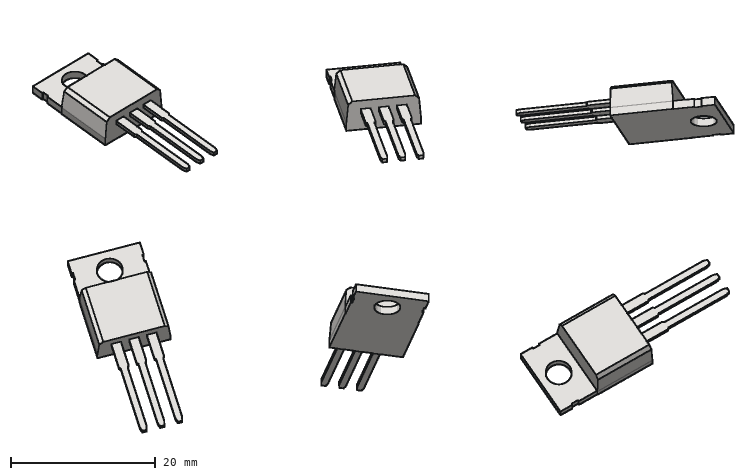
import cadquery as cq
import math

tab_width = 10.38
tab_thickness = 1.22
hole_diameter = 3.6
hole_x = 2.95
notch_start = 1.95
notch_length = 1.05
notch_depth = 0.2

body_start = 5.97
body_end = 14.95
body_width = 10.5
body_height = 4.65
draft_angle = 5.0
bevel_height = 0.52
bevel_width = 0.58

overall_length = 29.0
lead_count = 3
lead_pitch = 2.55
lead_bottom = 2.75
lead_thickness = 0.55
lead_root_width = 1.4
lead_width = 1.0
lead_tip_width = 0.65
shoulder_start = 18.7
shoulder_length = 0.23
tip_length = 0.65


def make_tab():
    """Flat mounting tab with a screw hole and a notch in each long edge."""
    tab = cq.Workplane("XY").box(body_end, tab_width, tab_thickness, centered=(False, True, False))
    hole = cq.Workplane("XY").center(hole_x, 0).circle(hole_diameter / 2).extrude(tab_thickness)
    notches = (
        cq.Workplane("XY")
        .pushPoints([(notch_start + notch_length / 2, side * tab_width / 2) for side in (-1, 1)])
        .rect(notch_length, 2 * notch_depth)
        .extrude(tab_thickness)
    )
    return tab.cut(hole).cut(notches)


def make_body():
    """Body with drafted sides, bevelled upper long edges and a sloping front face."""
    draft_slope = math.tan(math.radians(draft_angle))
    half_width = body_width / 2
    bevel_bottom = body_height - bevel_height
    half_width_at_bevel = half_width - (bevel_bottom - tab_thickness) * draft_slope
    half_width_at_top = half_width_at_bevel - bevel_width
    half_section = [
        (half_width, 0),
        (half_width, tab_thickness),
        (half_width_at_bevel, bevel_bottom),
        (half_width_at_top, body_height),
    ]
    mirrored_half = [(-y, z) for y, z in reversed(half_section)]
    body = (
        cq.Workplane("YZ", origin=(body_start, 0, 0))
        .polyline(half_section + mirrored_half)
        .close()
        .extrude(body_end - body_start)
    )
    front_setback = (body_height - tab_thickness) * draft_slope
    front_wedge = (
        cq.Workplane("XZ")
        .polyline([
            (body_start, tab_thickness),
            (body_start + front_setback, body_height),
            (body_start, body_height),
        ])
        .close()
        .extrude(half_width, both=True)
    )
    return body.cut(front_wedge)


def make_lead(center_y):
    """Flat lead with a wide root, a narrow shank and a tapered tip."""
    half_outline = [
        (body_end, lead_root_width / 2),
        (shoulder_start, lead_root_width / 2),
        (shoulder_start + shoulder_length, lead_width / 2),
        (overall_length - tip_length, lead_width / 2),
        (overall_length, lead_tip_width / 2),
    ]
    mirrored_half = [(x, -y) for x, y in reversed(half_outline)]
    return (
        cq.Workplane("XY", origin=(0, center_y, lead_bottom))
        .polyline(half_outline + mirrored_half)
        .close()
        .extrude(lead_thickness)
    )


result = make_tab().union(make_body())
for index in range(lead_count):
    lead_y = (index - (lead_count - 1) / 2) * lead_pitch
    result = result.union(make_lead(lead_y))